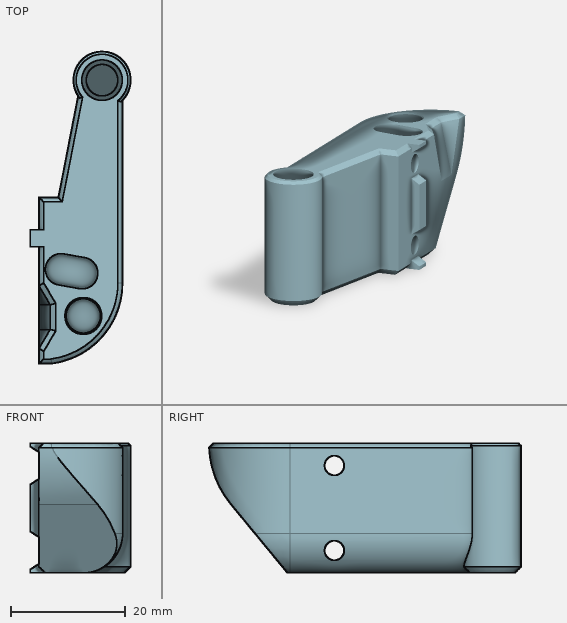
import cadquery as cq
import math

LENGTH = 54.5
HEIGHT = 22.65
ARM_WIDTH = 14.6
STEP_X = 3.4
STEP_Y = 29.05
NOSE_RADIUS = 14.2
NOSE_TRIM = 0.1

TOP_CHAMFER = 0.8
BOTTOM_CHAMFER = 1.1
BELLY_RADIUS = 6.9

EYE_RADIUS = 5.0
EYE_X = 11.0
EYE_Y = LENGTH - EYE_RADIUS
EYE_TOP_CHAMFER = 0.5
EYE_BORE_DIAMETER = 7.1
EYE_BORE_DEPTH = 16.35
EYE_PILOT_DIAMETER = 5.5
EYE_PILOT_DEPTH = 19.6
NECK_END_X = 7.35

UNDERCUT_START_Y = 13.75
UNDERCUT_ANGLE = 50.5

NOTCH_CENTER_Y = 8.1
NOTCH_FLOOR_WIDTH = 4.3
NOTCH_BOTTOM_Z = 12.6
NOTCH_DEPTH = 2.1
NOTCH_SIDE_RATIO = 1.7

KEY_Y = 21.9
KEY_WIDTH = 3.0
KEY_HEIGHT = 1.5
KEY_ROOT_X = 0.9
KEY_GAP_ROOT = 4.65
KEY_GAP_TIP = 6.6
CROSS_HOLE_DIAMETER = 3.4
CROSS_HOLE_SPACING = 14.8

SLOT_DIAMETER = 5.5
SLOT_ENDS = ((3.85, 16.45), (7.5, 15.8))
SLOT_DEPTH = 3.0
POCKET_DIAMETER = 6.0
POCKET_X = 7.75
POCKET_Y = 8.35
POCKET_DEPTH = 2.8
POCKET_CHAMFER = 0.2

OVERSHOOT = 2.7


def arm_blank():
    """Extruded outline of the arm, with a round nose."""
    nose_center_x = ARM_WIDTH - NOSE_RADIUS
    nose_center_y = NOSE_RADIUS - NOSE_TRIM
    flat_end_x = nose_center_x + math.sqrt(NOSE_RADIUS**2 - nose_center_y**2)
    diagonal = NOSE_RADIUS * math.sqrt(0.5)
    return (
        cq.Workplane("XY")
        .lineTo(flat_end_x, 0)
        .threePointArc(
            (nose_center_x + diagonal, nose_center_y - diagonal),
            (ARM_WIDTH, nose_center_y),
        )
        .lineTo(ARM_WIDTH, EYE_Y)
        .lineTo(NECK_END_X, EYE_Y)
        .lineTo(STEP_X, STEP_Y)
        .lineTo(0, STEP_Y)
        .close()
        .extrude(HEIGHT)
    )


def round_belly(arm):
    """Round the bottom edge along the nose and the outer side."""
    belly_point = (ARM_WIDTH, (NOSE_RADIUS + EYE_Y) / 2, 0)
    return arm.edges(cq.NearestToPointSelector(belly_point)).fillet(BELLY_RADIUS)


def chamfer_lower_left(arm):
    """Chamfer the bottom edges of the mating face, the step and the neck."""
    midpoints = (
        (0, (UNDERCUT_START_Y + STEP_Y) / 2, 0),
        (STEP_X / 2, STEP_Y, 0),
        ((STEP_X + NECK_END_X) / 2, (STEP_Y + EYE_Y) / 2, 0),
    )
    lower_edges = arm.newObject([])
    for midpoint in midpoints:
        lower_edges = lower_edges.add(arm.edges(cq.NearestToPointSelector(midpoint)))
    return lower_edges.chamfer(BOTTOM_CHAMFER)


def undercut():
    """Body below the nose: sloped plane, then a tangent arc up to the tip."""
    slope = math.radians(UNDERCUT_ANGLE)
    arc_share = math.cos(slope) - (1 - math.sin(slope)) * math.tan(slope)
    roll_radius = (HEIGHT - UNDERCUT_START_Y * math.tan(slope)) / arc_share
    half_turn = (math.pi / 2 - slope) / 2

    def roll_point(turn):
        return (
            roll_radius * (1 - math.cos(turn)),
            HEIGHT - roll_radius * math.sin(turn),
        )

    return (
        cq.Workplane("YZ", origin=(-OVERSHOOT, 0, 0))
        .moveTo(0, HEIGHT)
        .threePointArc(roll_point(half_turn), roll_point(2 * half_turn))
        .lineTo(UNDERCUT_START_Y, 0)
        .lineTo(-OVERSHOOT, 0)
        .lineTo(-OVERSHOOT, HEIGHT)
        .close()
        .extrude(ARM_WIDTH + 2 * OVERSHOOT)
    )


def notch():
    """Trapezoid slot swept down and outwards, running out on the mating face."""
    half_floor = NOTCH_FLOOR_WIDTH / 2
    half_mouth = half_floor + NOTCH_SIDE_RATIO * (NOTCH_DEPTH + OVERSHOOT)
    outline = cq.Wire.makePolygon(
        [
            cq.Vector(x, NOTCH_CENTER_Y + y, HEIGHT)
            for x, y in (
                (NOTCH_DEPTH, -half_floor),
                (NOTCH_DEPTH, half_floor),
                (-OVERSHOOT, half_mouth),
                (-OVERSHOOT, -half_mouth),
            )
        ],
        close=True,
    )
    sweep = cq.Vector(-NOTCH_DEPTH, 0, NOTCH_BOTTOM_Z - HEIGHT)
    return cq.Workplane(cq.Solid.extrudeLinear(outline, [], sweep))


def hinge_eye():
    """Cylinder of the hinge with its own top and bottom chamfers."""
    return (
        cq.Workplane("XY", origin=(EYE_X, EYE_Y, 0))
        .circle(EYE_RADIUS)
        .extrude(HEIGHT)
        .faces(">Z")
        .chamfer(EYE_TOP_CHAMFER)
        .faces("<Z")
        .chamfer(BOTTOM_CHAMFER)
    )


def cross_hole_heights():
    """Heights of the two cross holes, placed evenly about mid-height."""
    middle = HEIGHT / 2
    return (middle - CROSS_HOLE_SPACING / 2, middle + CROSS_HOLE_SPACING / 2)


def key():
    """Upright key on the mating face, with a flared gap at each cross hole."""
    bar = cq.Workplane("XY").box(
        KEY_HEIGHT + KEY_ROOT_X, KEY_WIDTH, HEIGHT, centered=(False, True, False)
    )
    bar = bar.translate((-KEY_HEIGHT, KEY_Y, 0))
    for z in cross_hole_heights():
        gap = (
            cq.Workplane("XZ", origin=(0, KEY_Y, z))
            .polyline(
                [
                    (0, -KEY_GAP_ROOT / 2),
                    (0, KEY_GAP_ROOT / 2),
                    (-KEY_HEIGHT, KEY_GAP_TIP / 2),
                    (-KEY_HEIGHT, -KEY_GAP_TIP / 2),
                ]
            )
            .close()
            .extrude(KEY_WIDTH, both=True)
        )
        bar = bar.cut(gap)
    return bar


def round_cutter(diameter, x, y, depth):
    """Cylinder reaching down from the top face."""
    return (
        cq.Workplane("XY", origin=(x, y, HEIGHT))
        .circle(diameter / 2)
        .extrude(-depth)
    )


def slot_pocket():
    """Oblique rounded slot sunk into the top face."""
    (x1, y1), (x2, y2) = SLOT_ENDS
    angle = math.degrees(math.atan2(y2 - y1, x2 - x1))
    return (
        cq.Workplane("XY", origin=((x1 + x2) / 2, (y1 + y2) / 2, HEIGHT))
        .transformed(rotate=(0, 0, angle))
        .slot2D(math.hypot(x2 - x1, y2 - y1) + SLOT_DIAMETER, SLOT_DIAMETER)
        .extrude(-SLOT_DEPTH)
    )


def round_pocket():
    """Round pocket in the nose with a small chamfer at its mouth."""
    mouth = (
        cq.Workplane("XY", origin=(POCKET_X, POCKET_Y, HEIGHT))
        .circle(POCKET_DIAMETER / 2 + POCKET_CHAMFER)
        .workplane(offset=-POCKET_CHAMFER)
        .circle(POCKET_DIAMETER / 2)
        .loft()
    )
    return round_cutter(POCKET_DIAMETER, POCKET_X, POCKET_Y, POCKET_DEPTH).union(mouth)


def cross_holes():
    """Holes through the arm along X, one in each gap of the key."""
    return (
        cq.Workplane("YZ", origin=(-OVERSHOOT, 0, 0))
        .pushPoints([(KEY_Y, z) for z in cross_hole_heights()])
        .circle(CROSS_HOLE_DIAMETER / 2)
        .extrude(ARM_WIDTH + 2 * OVERSHOOT)
    )


arm = arm_blank().cut(notch()).faces(">Z").chamfer(TOP_CHAMFER)
arm = round_belly(arm).cut(undercut())
arm = chamfer_lower_left(arm)

result = (
    arm.union(hinge_eye())
    .union(key())
    .cut(round_cutter(EYE_BORE_DIAMETER, EYE_X, EYE_Y, EYE_BORE_DEPTH))
    .cut(round_cutter(EYE_PILOT_DIAMETER, EYE_X, EYE_Y, EYE_PILOT_DEPTH))
    .cut(slot_pocket())
    .cut(round_pocket())
    .cut(cross_holes())
)